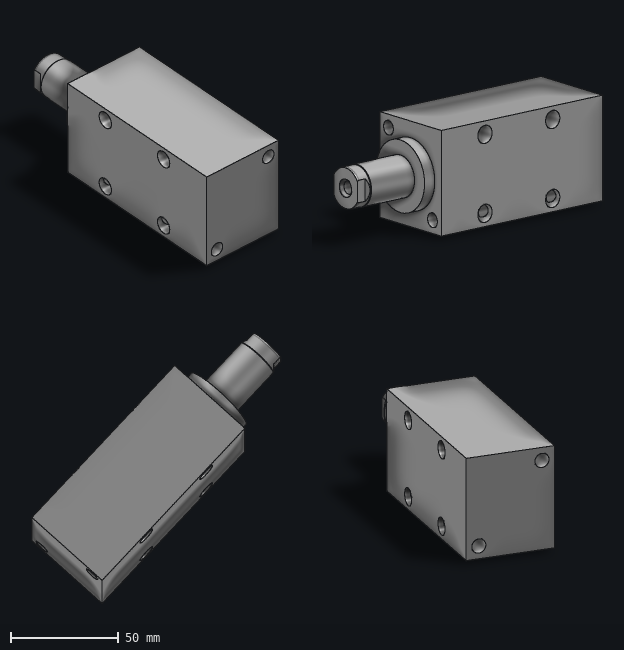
import cadquery as cq

total_length = 137.9
block_width = 44.4
block_height = 51.0
block_start = 39.6
block_length = total_length - block_start

collar_diameter = 35.0
collar_start = 33.4
rod_diameter = 20.5
tip_diameter = 20.1
step_start = 6.9
step_end = 7.2
tip_chamfer_length = 1.0
tip_chamfer_depth = 0.2

flat_width = 17.0
flat_length = 4.8

mouth_diameter = 8.8
mouth_chamfer = 0.3
bore_diameter = 6.3
bore_start = 1.8
bore_end = 19.3

side_hole_diameter = 8.7
side_hole_first_x = 66.2
side_hole_spacing_x = 41.2
side_hole_spacing_z = 38.0
end_hole_diameter = 7.0
end_hole_spacing_y = 31.7
end_hole_spacing_z = side_hole_spacing_z

boss_diameter = 15.9
boss_height = 2.0
boss_x = 121.9


def make_block():
    block = cq.Workplane("XY").box(block_length, block_width, block_height)
    return block.translate((block_start + block_length / 2, 0, 0))


def make_rod_and_collar():
    """Revolve the half profile of the rod and collar about the X axis."""
    tip_radius = tip_diameter / 2
    rod_radius = rod_diameter / 2
    collar_radius = collar_diameter / 2
    profile = [
        (0, 0),
        (0, tip_radius - tip_chamfer_depth),
        (tip_chamfer_length, tip_radius),
        (step_start, tip_radius),
        (step_end, rod_radius),
        (collar_start, rod_radius),
        (collar_start, collar_radius),
        (block_start, collar_radius),
        (block_start, 0),
    ]
    return cq.Workplane("XY").polyline(profile).close().revolve(360, (0, 0, 0), (1, 0, 0))


def make_flat_cutter(side):
    """Material to remove on one side (+1 or -1 in Y) of the rod end."""
    inner_y = flat_width / 2
    outer_y = rod_diameter / 2
    outline = [
        (0, side * inner_y),
        (flat_length, side * inner_y),
        (flat_length + outer_y - inner_y, side * outer_y),
        (0, side * outer_y),
    ]
    return cq.Workplane("XY").polyline(outline).close().extrude(rod_diameter / 2, both=True)


def make_centre_hole():
    bore_radius = bore_diameter / 2
    mouth_radius = mouth_diameter / 2
    outline = [
        (0, 0),
        (0, mouth_radius),
        (mouth_chamfer, mouth_radius - mouth_chamfer),
        (bore_start, bore_radius),
        (bore_end, bore_radius),
        (bore_end, 0),
    ]
    return cq.Workplane("XY").polyline(outline).close().revolve(360, (0, 0, 0), (1, 0, 0))


def make_side_holes():
    """Four holes through the block along Y."""
    row_z = side_hole_spacing_z / 2
    columns = [side_hole_first_x, side_hole_first_x + side_hole_spacing_x]
    centres = [(x, z) for x in columns for z in (-row_z, row_z)]
    holes = cq.Workplane("XZ").pushPoints(centres).circle(side_hole_diameter / 2)
    return holes.extrude(block_width / 2, both=True)


def make_end_holes():
    """Two diagonally opposite holes through the block along X."""
    y = end_hole_spacing_y / 2
    z = end_hole_spacing_z / 2
    holes = cq.Workplane("YZ", origin=(block_start, 0, 0)).pushPoints([(y, z), (-y, -z)])
    return holes.circle(end_hole_diameter / 2).extrude(block_length)


def make_boss():
    underside = cq.Workplane("XY", origin=(boss_x, 0, -block_height / 2))
    return underside.circle(boss_diameter / 2).extrude(-boss_height)


result = make_block().union(make_rod_and_collar()).union(make_boss())
for side in (-1, 1):
    result = result.cut(make_flat_cutter(side))
result = result.cut(make_centre_hole()).cut(make_side_holes()).cut(make_end_holes())